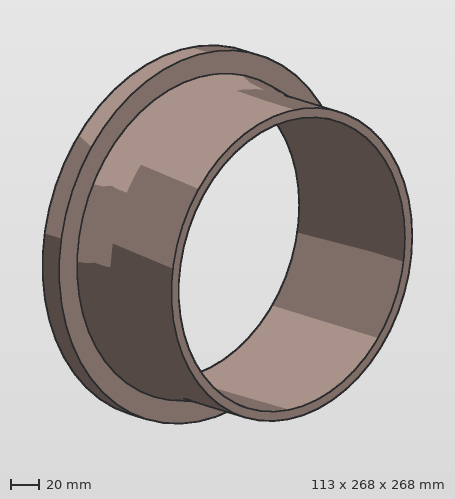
import cadquery as cq

total_length = 113.0
flange_diameter = 268.0
flange_thickness = 18.0

taper_length = 30.0
taper_base_diameter = 234.8
pipe_diameter = 224.9
bore_diameter = 211.2

flange_radius = flange_diameter / 2
taper_base_radius = taper_base_diameter / 2
pipe_radius = pipe_diameter / 2
bore_radius = bore_diameter / 2
taper_end = flange_thickness + taper_length

half_section = (
    cq.Workplane("XY")
    .moveTo(0, bore_radius)
    .lineTo(0, flange_radius)
    .lineTo(flange_thickness, flange_radius)
    .lineTo(flange_thickness, taper_base_radius)
    .lineTo(taper_end, pipe_radius)
    .lineTo(total_length, pipe_radius)
    .lineTo(total_length, bore_radius)
    .close()
)

result = half_section.revolve(360, (0, 0, 0), (1, 0, 0))